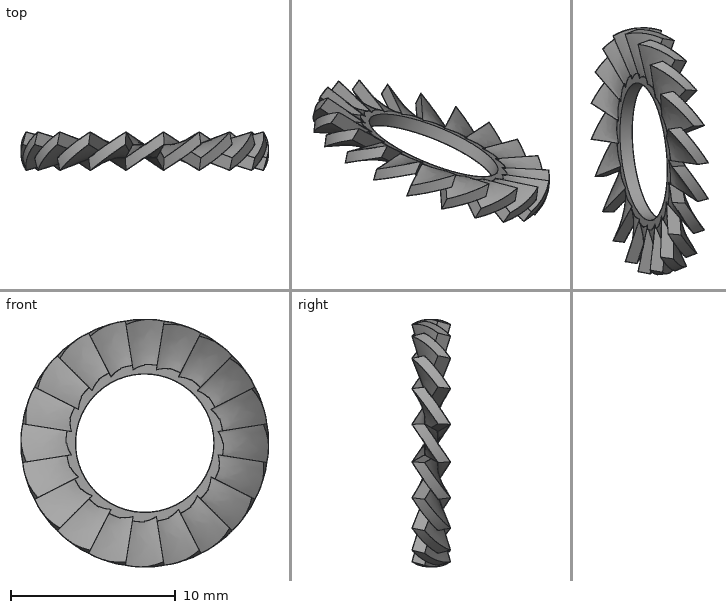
import cadquery as cq
import math

outer_radius = 7.5
bore_radius = 4.2
thickness = 0.8
tooth_count = 20

ring_radius = 4.78
bend_radius = 4.51
root_radius = 4.73
bend_angle = 15.6

half_thickness = thickness / 2
tooth_step = 360 / tooth_count
bend = math.radians(bend_angle)
corner_setback = thickness * math.sin(bend)
corner_height = thickness * math.cos(bend)
tip_radius = outer_radius - corner_setback
tip_height = half_thickness + (tip_radius - bend_radius) * math.tan(bend)


def section_wire(corners, angle_degrees):
    """Closed wire through (radius, height) corners, in the half-plane at an angle from +Z."""
    angle = math.radians(angle_degrees)
    points = [cq.Vector(r * math.sin(angle), h, r * math.cos(angle)) for r, h in corners]
    return cq.Wire.makePolygon(points, close=True)


def make_ring():
    """Flat annulus that carries the teeth."""
    ring = cq.Workplane("XZ", origin=(0, half_thickness, 0))
    return ring.circle(ring_radius).circle(bore_radius).extrude(thickness)


def make_tooth():
    """Twisted tooth centred on +Z: its -X flank bends to -Y and its +X flank to +Y."""
    left_flank = [
        (bend_radius, -half_thickness),
        (tip_radius, -tip_height),
        (tip_radius + corner_setback, corner_height - tip_height),
        (bend_radius + corner_setback, corner_height - half_thickness),
    ]
    middle = [
        (root_radius, -half_thickness),
        (outer_radius, -half_thickness),
        (outer_radius, half_thickness),
        (root_radius, half_thickness),
    ]
    right_flank = [(r, -h) for r, h in reversed(left_flank)]

    half_step = tooth_step / 2
    sections = [
        section_wire(left_flank, -half_step),
        section_wire(middle, 0),
        section_wire(right_flank, half_step),
    ]
    return cq.Workplane(cq.Solid.makeLoft(sections))


tooth = make_tooth()
result = make_ring()
for index in range(tooth_count):
    result = result.union(tooth.rotate((0, 0, 0), (0, 1, 0), index * tooth_step))